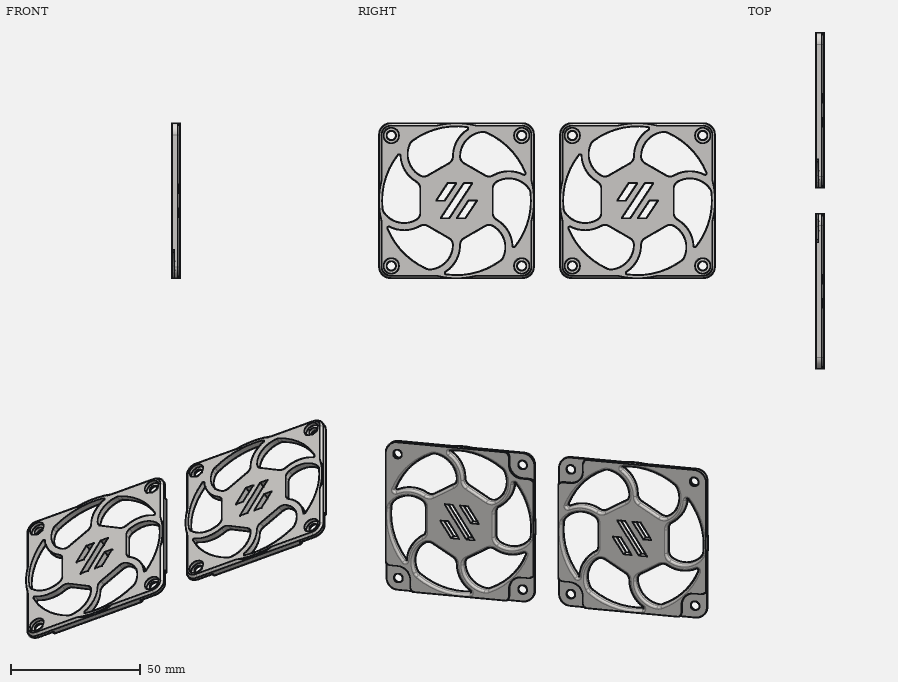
import cadquery as cq
import math


total_length = 130.0
plate_gap = 10.0
plate_size = (total_length - plate_gap) / 2
plate_pitch = plate_size + plate_gap
thickness = 3.2
corner_radius = 4.5
back_chamfer = 1.0

hole_diameter = 3.5
back_recess_diameter = 6.0
back_recess_depth = 1.5
hole_spacing = 50.5
corner_step_size = 10.0
corner_step_depth = 1.0
corner_step_radius = 5.2
flare_length = 2.1
flare_rise = 1.0

hub_apothem = 14.0
blade_count = 6
blade_angle = 360 / blade_count
spoke_width = 2.9
spoke_radius = 10.9
hub_corner_radius = 3.0

opening_radius = 28.7
blend_radius = 3.0
tip_radius = 0.5
opening_fillet = 1.0

slot_width = 3.2
slot_pitch = 6.2
slot_half_height = 6.8
slot_slant = 0.66


def polar(radius, angle, center=(0, 0)):
    """Point at a distance and an angle in degrees from a center."""
    turn = math.radians(angle)
    return (center[0] + radius * math.cos(turn), center[1] + radius * math.sin(turn))


def rotated(point, angle):
    """Point turned about the plate center."""
    return polar(math.hypot(*point), direction((0, 0), point) + angle)


def direction(start, end):
    """Angle in degrees of the line from one point to another."""
    return math.degrees(math.atan2(end[1] - start[1], end[0] - start[0]))


def arc_point(center, start, end):
    """Point halfway along the shorter arc from start to end."""
    chord_middle = ((start[0] + end[0]) / 2, (start[1] + end[1]) / 2)
    return polar(math.dist(center, start), direction(center, chord_middle), center)


def rounding_center(spoke_center, plate_distance, spoke_distance):
    """Center of a rounding, from its distances to the plate center and to a spoke's arc center."""
    reach = math.hypot(*spoke_center)
    cosine = (reach**2 + plate_distance**2 - spoke_distance**2) / (2 * reach * plate_distance)
    return polar(plate_distance, direction((0, 0), spoke_center) + math.degrees(math.acos(cosine)))


def opening_cutter():
    """One opening, between the spoke that leaves the hub along +Z and the next spoke clockwise."""
    half_width = spoke_width / 2
    inner_radius = spoke_radius - half_width
    outer_radius = spoke_radius + half_width

    hub_corner_height = (hub_apothem - half_width / 2) / math.cos(math.radians(30))
    spoke_start = hub_corner_height + hub_corner_radius * math.tan(math.radians(30))

    near_center = (spoke_radius, spoke_start)
    near_start = (half_width, spoke_start)
    near_corner = (half_width + hub_corner_radius, spoke_start)
    near_flat = polar(hub_corner_radius, 180 + blade_angle, near_corner)

    far_center = rotated(near_center, -blade_angle)
    far_start = rotated((-half_width, spoke_start), -blade_angle)
    far_corner = rotated((-near_corner[0], spoke_start), -blade_angle)
    far_flat = polar(hub_corner_radius, 180 + blade_angle, far_corner)

    tip_center = rounding_center(far_center, opening_radius - tip_radius, outer_radius + tip_radius)
    tip_on_spoke = polar(outer_radius, direction(far_center, tip_center), far_center)
    tip_on_rim = polar(opening_radius, direction((0, 0), tip_center))

    blend_center = rounding_center(near_center, opening_radius - blend_radius, inner_radius - blend_radius)
    blend_on_rim = polar(opening_radius, direction((0, 0), blend_center))
    blend_on_spoke = polar(inner_radius, direction(near_center, blend_center), near_center)

    return (
        cq.Workplane("YZ")
        .moveTo(*near_flat)
        .lineTo(*far_flat)
        .threePointArc(arc_point(far_corner, far_flat, far_start), far_start)
        .threePointArc(arc_point(far_center, far_start, tip_on_spoke), tip_on_spoke)
        .threePointArc(arc_point(tip_center, tip_on_spoke, tip_on_rim), tip_on_rim)
        .threePointArc(arc_point((0, 0), tip_on_rim, blend_on_rim), blend_on_rim)
        .threePointArc(arc_point(blend_center, blend_on_rim, blend_on_spoke), blend_on_spoke)
        .threePointArc(arc_point(near_center, blend_on_spoke, near_start), near_start)
        .threePointArc(arc_point(near_corner, near_start, near_flat), near_flat)
        .close()
        .extrude(thickness)
    )


def corner_step_cutter():
    """Step at the +Y +Z corner; each wall curves away from the corner as it nears the plate's side."""
    edge = plate_size / 2
    wall = edge - corner_step_size
    round_center = (wall + corner_step_radius, wall + corner_step_radius)
    flare_start = edge - flare_length
    flare_end = wall - flare_rise
    flare_radius = (flare_length**2 + flare_rise**2) / (2 * flare_rise)
    top_flare_center = (wall - flare_radius, flare_start)
    side_flare_center = (flare_start, wall - flare_radius)
    top_flare_middle = arc_point(top_flare_center, (flare_end, edge), (wall, flare_start))
    side_flare_middle = arc_point(side_flare_center, (flare_start, wall), (edge, flare_end))
    return (
        cq.Workplane("YZ")
        .moveTo(edge, edge)
        .lineTo(flare_end, edge)
        .threePointArc(top_flare_middle, (wall, flare_start))
        .lineTo(wall, round_center[1])
        .threePointArc(polar(corner_step_radius, 225, round_center), (round_center[0], wall))
        .lineTo(flare_start, wall)
        .threePointArc(side_flare_middle, (edge, flare_end))
        .close()
        .extrude(corner_step_depth)
    )


def corner_cylinders(diameter, start):
    """Cylinders on the four mounting hole axes, from a start depth to the back face."""
    return (
        cq.Workplane("YZ", origin=(start, 0, 0))
        .rect(hole_spacing, hole_spacing, forConstruction=True)
        .vertices()
        .circle(diameter / 2)
        .extrude(thickness - start)
    )


def slot_cutter(top_middle, top, bottom):
    """Slanted slot through the hub; slots lean so that their top ends point to +Y."""
    bottom_middle = top_middle - slot_slant * (top - bottom)
    half = slot_width / 2
    corners = [
        (top_middle - half, top),
        (top_middle + half, top),
        (bottom_middle + half, bottom),
        (bottom_middle - half, bottom),
    ]
    return cq.Workplane("YZ").polyline(corners).close().extrude(thickness)


def plate_blank():
    """Rounded plate with a chamfered back edge; a full-width disc fills the middle of each side."""
    plate = cq.Workplane("YZ").rect(plate_size, plate_size).extrude(thickness)
    plate = plate.edges("|X").fillet(corner_radius).faces(">X").edges().chamfer(back_chamfer)
    disc = cq.Workplane("YZ").circle(plate_size / 2).extrude(thickness)
    return plate.union(disc)


def grille(side):
    """Grille for the +Y (side = 1) or -Y (side = -1) place; its outer top corner has no step."""
    body = plate_blank()

    opening = opening_cutter()
    for blade in range(blade_count):
        body = body.cut(opening.rotate((0, 0, 0), (1, 0, 0), blade * blade_angle))
    rims = [edge for wire in body.faces("<X").val().innerWires() for edge in wire.Edges()]
    body = body.newObject(rims).fillet(opening_fillet)

    stepped_corners = (1, 2, 3) if side > 0 else (0, 2, 3)
    step = corner_step_cutter()
    for turn in stepped_corners:
        body = body.cut(step.rotate((0, 0, 0), (1, 0, 0), turn * 90))

    body = body.cut(corner_cylinders(hole_diameter, 0))
    body = body.cut(corner_cylinders(back_recess_diameter, thickness - back_recess_depth))

    long_top = slot_slant * slot_half_height
    body = body.cut(slot_cutter(long_top, slot_half_height, -slot_half_height))
    body = body.cut(slot_cutter(long_top - slot_pitch, slot_half_height, 0))
    body = body.cut(slot_cutter(slot_pitch, 0, -slot_half_height))

    return body.translate((0, side * plate_pitch / 2, 0))


grilles = [grille(side) for side in (1, -1)]

result = cq.Compound.makeCompound([body.val() for body in grilles])